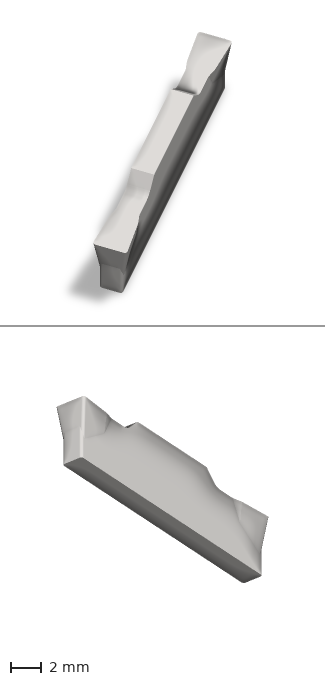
import cadquery as cq
import math

length = 19.68
height = 5.51
body_width = 1.61
shelf_height = 4.45

crown_length = 7.32
shoulder_radius = 0.98
shoulder_angle = math.radians(45)

relief_angle = 7.0
head_depth = 3.15
face_height = 2.03
tip_width = 2.42
ridge_width = 1.99
ridge_inset = 2.68
neck_inset = 3.42
root_inset = 3.94
corner_radius = 0.2

body_length = length - 2 * face_height * math.tan(math.radians(relief_angle))


def make_body():
    """Flat blade with a raised crown and vertical rounded corners."""
    half_body = body_length / 2
    half_crown = crown_length / 2
    blend_rise = shoulder_radius * (1 - math.cos(shoulder_angle))
    blend_run = shoulder_radius * math.sin(shoulder_angle)
    slope_height = shelf_height + blend_rise
    slope_y = half_crown + (height - slope_height) / math.tan(shoulder_angle)
    shelf_y = slope_y + blend_run
    arc_y = shelf_y - shoulder_radius * math.sin(shoulder_angle / 2)
    arc_height = shelf_height + shoulder_radius * (1 - math.cos(shoulder_angle / 2))

    return (
        cq.Workplane("YZ")
        .moveTo(-half_body, 0)
        .lineTo(half_body, 0)
        .lineTo(half_body, shelf_height)
        .lineTo(shelf_y, shelf_height)
        .threePointArc((arc_y, arc_height), (slope_y, slope_height))
        .lineTo(half_crown, height)
        .lineTo(-half_crown, height)
        .lineTo(-slope_y, slope_height)
        .threePointArc((-arc_y, arc_height), (-shelf_y, shelf_height))
        .lineTo(-half_body, shelf_height)
        .close()
        .extrude(body_width / 2, both=True)
        .edges("|Z")
        .fillet(corner_radius)
    )


def make_head():
    """Flared head at the +Y end, relieved on its end face and both flanks."""
    tip_y = length / 2
    ridge_y = tip_y - ridge_inset
    root_y = tip_y - root_inset
    ramp_slope = (ridge_width - body_width) / (neck_inset - ridge_inset)
    root_width = ridge_width - ramp_slope * (root_inset - ridge_inset)
    right_side = [
        (root_width / 2, root_y),
        (ridge_width / 2, ridge_y),
        (tip_width / 2, tip_y),
    ]
    left_side = [(-x, y) for x, y in reversed(right_side)]
    middle_height = shelf_height - head_depth / 2
    tip_corners = cq.selectors.BoxSelector(
        (-tip_width, tip_y - 2 * corner_radius, middle_height - corner_radius),
        (tip_width, tip_y, middle_height + corner_radius),
    )
    return (
        cq.Workplane("XY")
        .workplane(offset=shelf_height)
        .polyline(right_side + left_side)
        .close()
        .extrude(-head_depth, taper=relief_angle)
        .edges(tip_corners)
        .fillet(corner_radius)
    )


head = make_head()
result = make_body().union(head).union(head.mirror("XZ"))